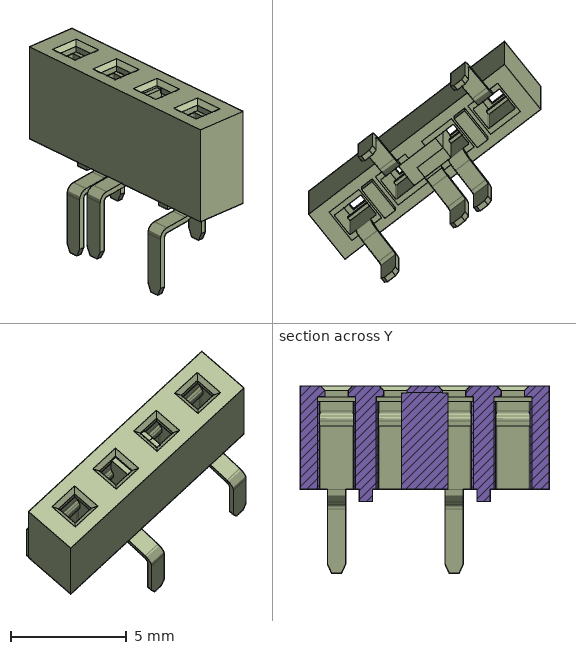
import cadquery as cq
import math

pitch = 2.54
socket_count = 4
housing_length = 10.76
housing_width = 2.54
housing_height = 4.48

opening_half = 0.5
lead_in = 0.2
opening_depth = 0.47
clip_depth = 0.67

foot_length = 0.58
foot_width = 1.62
foot_height = 0.53

sheet = 0.25
clip_half_width = 0.8
clip_inner_half_width = clip_half_width - sheet
clip_inner_half_length = 0.73
clip_side_wall = 0.09
clip_half_length = clip_inner_half_length + clip_side_wall
clip_corner_radius = 0.04
clip_top = housing_height - clip_depth

lip_gap = 0.79
lip_rise = clip_inner_half_width - lip_gap / 2
lip_ramp = 0.43
lip_drop = 0.43
lip_land = 0.22

leg_reach = 2.54
leg_width = 0.8
leg_bottom = -3.63
leg_slope = math.radians(6.3)
neck_radius = 0.29
knee_radius = 0.43
tip_height = 0.4
tip_width = 0.43

center_leg_width = 0.84
center_leg_lift = 0.33
block_half_length = 1.01
block_half_width = clip_inner_half_width
block_setback = 0.1
block_top = housing_height - lead_in - block_setback


def span(x_min, x_max, y_min, y_max, z_min, z_max):
    """Axis-aligned box between the given limits."""
    size = (x_max - x_min, y_max - y_min, z_max - z_min)
    return cq.Workplane("XY").box(*size, centered=False).translate((x_min, y_min, z_min))


def upright(half_length, half_width, z_min, z_max):
    """Box centered on the Z axis."""
    return span(-half_length, half_length, -half_width, half_width, z_min, z_max)


def make_leg(width, top):
    """Leg strip on the +Y side: straight neck, neck bend, slope, knee bend, pointed tip."""
    normal = (math.sin(leg_slope), math.cos(leg_slope))
    neck_center = (clip_half_width + neck_radius, 0)
    knee_y = leg_reach - knee_radius
    bend_sum = neck_radius + knee_radius
    slope_run = knee_y - neck_center[0] + bend_sum * normal[0]
    knee_z = -bend_sum * normal[1] - slope_run * math.tan(leg_slope)
    knee_center = (knee_y, knee_z)

    def on_normal(center, distance):
        return (center[0] + distance * normal[0], center[1] + distance * normal[1])

    inner_y = leg_reach - sheet
    profile = (
        cq.Workplane("YZ")
        .moveTo(clip_half_width, top)
        .lineTo(clip_half_width, 0)
        .tangentArcPoint(on_normal(neck_center, -neck_radius), relative=False)
        .lineTo(*on_normal(knee_center, knee_radius))
        .tangentArcPoint((leg_reach, knee_z), relative=False)
        .lineTo(leg_reach, leg_bottom)
        .lineTo(inner_y, leg_bottom)
        .lineTo(inner_y, knee_z)
        .tangentArcPoint(on_normal(knee_center, knee_radius - sheet), relative=False)
        .lineTo(*on_normal(neck_center, -neck_radius - sheet))
        .tangentArcPoint((clip_inner_half_width, 0), relative=False)
        .lineTo(clip_inner_half_width, top)
        .close()
    )
    strip = profile.extrude(width / 2, both=True)

    outline = (
        cq.Workplane("XZ")
        .moveTo(-width / 2, top)
        .lineTo(-width / 2, leg_bottom + tip_height)
        .lineTo(-tip_width / 2, leg_bottom)
        .lineTo(tip_width / 2, leg_bottom)
        .lineTo(width / 2, leg_bottom + tip_height)
        .lineTo(width / 2, top)
        .close()
        .extrude(-leg_reach)
    )
    return strip.intersect(outline)


def make_lip():
    """Lip on the +Y wall of a clip: S-shaped ramp of two tangent arcs, straight land, flat underside."""
    wall_y = clip_inner_half_width
    lip_y = lip_gap / 2
    ramp_top = clip_top - lip_drop
    land_top = ramp_top - lip_ramp
    lip_bottom = land_top - lip_land
    ramp_middle = (wall_y - lip_rise / 2, ramp_top - lip_ramp / 2)
    return (
        cq.Workplane("YZ")
        .moveTo(wall_y, lip_bottom)
        .lineTo(lip_y, lip_bottom)
        .lineTo(lip_y, land_top)
        .tangentArcPoint(ramp_middle, relative=False)
        .tangentArcPoint((wall_y, ramp_top), relative=False)
        .close()
        .extrude(clip_inner_half_length, both=True)
    )


def make_contact():
    """Tubular clip with two gripping lips and one leg on the +Y side."""
    hollow = upright(clip_inner_half_length, clip_inner_half_width, 0, clip_top)
    hollow = hollow.edges("|Z").fillet(clip_corner_radius)
    clip = upright(clip_half_length, clip_half_width, 0, clip_top).cut(hollow)
    lip = make_lip()
    clip = clip.union(lip).union(lip.mirror("XZ"))
    return clip.union(make_leg(leg_width, clip_top))


def make_socket():
    """Space for one contact: chamfered square opening above a wider clip pocket."""
    pocket = upright(clip_half_length, clip_half_width, 0, housing_height - opening_depth)
    opening = upright(opening_half, opening_half, 0, housing_height)
    mouth_side = 2 * (opening_half + lead_in)
    mouth = (
        cq.Workplane("XY", origin=(0, 0, housing_height))
        .rect(mouth_side, mouth_side)
        .workplane(offset=-lead_in)
        .rect(2 * opening_half, 2 * opening_half)
        .loft(ruled=True)
    )
    return pocket.union(opening).union(mouth)


socket_xs = [(i - (socket_count - 1) / 2) * pitch for i in range(socket_count)]

block = upright(block_half_length, block_half_width, 0, block_top)

contacts = []
for index, x in enumerate(socket_xs):
    turn = 180 * (index % 2)
    contact = make_contact().rotate((0, 0, 0), (0, 0, 1), turn).translate((x, 0, 0))
    contacts.append(contact.cut(block))

head = span(-block_half_length, center_leg_width / 2, -block_half_width, 0, 0, block_top)
center_leg = make_leg(center_leg_width, clip_top - center_leg_lift).mirror("XZ")
center_pin = center_leg.translate((0, 0, center_leg_lift)).union(head)

insert = block.cut(head)

housing = upright(housing_length / 2, housing_width / 2, 0, housing_height)
for x in socket_xs:
    housing = housing.cut(make_socket().translate((x, 0, 0)))
for x in (-pitch, pitch):
    foot = upright(foot_length / 2, foot_width / 2, -foot_height, 0)
    housing = housing.union(foot.translate((x, 0, 0)))
housing = housing.cut(block).cut(center_pin)

result = cq.Compound.makeCompound([
    housing.val(),
    *[contact.val() for contact in contacts],
    center_pin.val(),
    insert.val(),
])